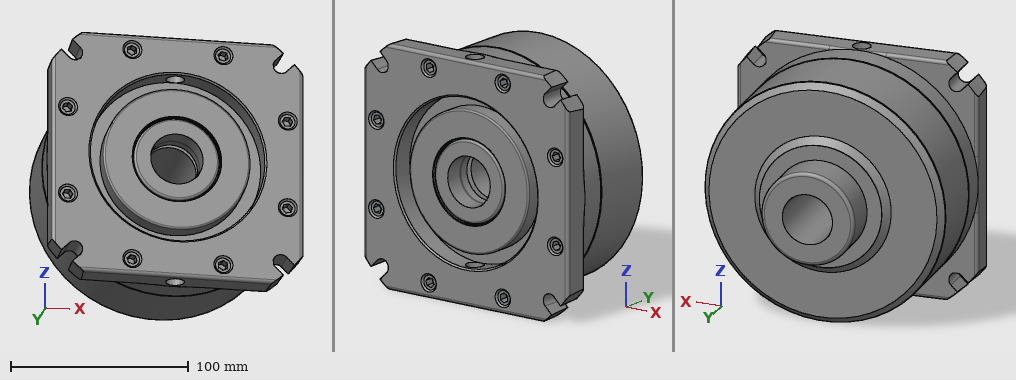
import cadquery as cq
import math


flange_size = 144.0
flange_thickness = 16.0
flange_front_fillet = 2.0
flange_back_fillet = 2.0
round_tip_radius = 0.03
corner_front_radius = 90.0
corner_back_radius = 89.1

slot_width = 9.0
slot_centre = 59.0
slot_length = 28.8

drum_radius = flange_size / 2
groove_position = 31.2
groove_half_width = 0.6
groove_depth = 0.22
drum_chamfer_start = 70.3
drum_end = 73.9
drum_bevel_length = 0.6
drum_bevel_depth = 0.3
collar_end = 78.0
collar_base_radius = 40.8
collar_top_radius = 36.6
collar_rim_height = 0.3

recess_radius = 50.0
recess_depth = 14.0
recess_chamfer = 1.0
boss_radius = 42.0
boss_setback = 3.0
boss_fillet = 1.0
access_hole_diameter = 10.5
access_hole_position = 8.6

screw_count = 8
screw_circle_radius = 68.1
first_screw_angle = 22.5
countersink_radius = 5.4
countersink_depth = 1.08
socket_across_flats = 5.0
socket_depth = 5.8
socket_tilt = 22.5

hub_radius = 24.5
hub_fillet = 1.3
hub_hole_radius = 25.2
hub_hole_chamfer = 0.5
hub_gap_depth = 2.0
shaft_radius = 27.8
shaft_end = 100.0
shaft_end_fillet = 2.0
bore_radius = 15.0
bore_step = 0.1
bore_step_start = boss_setback + 11.4
bore_step_length = 1.0
relief_start = boss_setback + 18.1
relief_length = 3.7
relief_radius = 20.9

shoulder_position = boss_setback + hub_gap_depth


def front_plane(depth=0.0):
    """Plane parallel to the front face whose normal points along +Y; local x is -X and local y is Z."""
    return cq.Workplane(cq.Plane(origin=(0, depth, 0), xDir=(-1, 0, 0), normal=(0, 1, 0)))


def turned(points):
    """Solid of revolution about Y from (radius, position) points."""
    profile = [(position, radius) for radius, position in points]
    return cq.Workplane("YZ").polyline(profile).close().revolve(360, (0, 0, 0), (1, 0, 0))


def disc(radius, start, end):
    return front_plane(start).circle(radius).extrude(end - start)


def back_round_section(x, radius):
    """Wire across X between the sharp top back edge of the flange and its round."""
    top = flange_size / 2
    sagitta = radius * (1 - math.sqrt(0.5))
    return (
        cq.Workplane("YZ", origin=(x, 0, 0))
        .moveTo(flange_thickness, top)
        .lineTo(flange_thickness - radius, top)
        .threePointArc((flange_thickness - sagitta, top - sagitta), (flange_thickness, top - radius))
        .close()
        .val()
    )


def make_back_round_cutter():
    """Waste that rounds one half of the top back edge of the flange.

    The round is full where the drum lies deeper than its radius, and from there it tapers
    to nothing at mid-side, where the drum comes flush with the flange.
    """
    run_out = math.sqrt(drum_radius**2 - (drum_radius - flange_back_fillet) ** 2)
    full = back_round_section(run_out, flange_back_fillet)
    along_edge = cq.Workplane(cq.Solid.extrudeLinear(full, [], cq.Vector(flange_size / 2, 0, 0)))
    tip = back_round_section(0, round_tip_radius)
    taper = cq.Workplane(cq.Solid.makeLoft([tip, full], True))
    return along_edge.union(taper)


def make_flange():
    flange = front_plane().rect(flange_size, flange_size).extrude(flange_thickness)
    flange = flange.faces("<Y").edges().fillet(flange_front_fillet)
    round_cutter = make_back_round_cutter()
    for side in range(4):
        side_angle = 90 * side
        flange = flange.cut(round_cutter.rotate((0, 0, 0), (0, 1, 0), side_angle))
        flange = flange.cut(round_cutter.mirror("YZ").rotate((0, 0, 0), (0, 1, 0), side_angle))
    corner_cone = turned([
        (0, 0),
        (corner_front_radius, 0),
        (corner_back_radius, flange_thickness),
        (0, flange_thickness),
    ])
    return flange.intersect(corner_cone)


def make_slot():
    """Round-ended slot that opens outward along -X."""
    channel = front_plane().center(slot_length / 2, 0).rect(slot_length, slot_width).extrude(flange_thickness)
    slot = disc(slot_width / 2, 0, flange_thickness).union(channel)
    return slot.translate((-slot_centre * math.sqrt(2), 0, 0))


def make_drum():
    chamfer = drum_end - drum_chamfer_start
    chamfer_radius = drum_radius - drum_bevel_depth
    start = flange_thickness - flange_back_fillet
    return turned([
        (0, start),
        (drum_radius, start),
        (drum_radius, groove_position - groove_half_width),
        (drum_radius - groove_depth, groove_position),
        (drum_radius, groove_position + groove_half_width),
        (drum_radius, drum_chamfer_start - drum_bevel_length),
        (chamfer_radius, drum_chamfer_start),
        (chamfer_radius - chamfer, drum_end),
        (collar_base_radius, drum_end),
        (collar_top_radius, collar_end - collar_rim_height),
        (collar_top_radius, collar_end),
        (0, collar_end),
    ])


def make_recess():
    recess = disc(recess_radius, 0, recess_depth)
    mouth = turned([
        (0, 0),
        (recess_radius + recess_chamfer, 0),
        (recess_radius, recess_chamfer),
        (0, recess_chamfer),
    ])
    boss = disc(boss_radius, boss_setback, recess_depth).faces("<Y").edges().fillet(boss_fillet)
    return recess.union(mouth).cut(boss)


def make_access_hole():
    """Cross hole through both opposite flange edges that stops short of the boss."""
    hole = cq.Workplane("XY").center(0, access_hole_position).circle(access_hole_diameter / 2)
    hole = hole.extrude(flange_size / 2, both=True)
    return hole.cut(disc(boss_radius, 0, flange_thickness))


def make_screw_recess():
    """Countersink with a hexagon socket below it, on the axis of the part."""
    countersink = turned([
        (0, 0),
        (countersink_radius, 0),
        (countersink_radius - countersink_depth, countersink_depth),
        (0, countersink_depth),
    ])
    across_corners = socket_across_flats / math.cos(math.pi / 6)
    socket = front_plane().polygon(6, across_corners).extrude(countersink_depth + socket_depth)
    socket = socket.rotate((0, 0, 0), (0, 1, 0), socket_tilt)
    return countersink.union(socket)


def make_shaft_hole():
    return turned([
        (0, boss_setback),
        (hub_hole_radius + hub_hole_chamfer, boss_setback),
        (hub_hole_radius, boss_setback + hub_hole_chamfer),
        (hub_hole_radius, shoulder_position),
        (shaft_radius, shoulder_position),
        (shaft_radius, collar_end),
        (0, collar_end),
    ])


def make_housing():
    housing = make_flange().union(make_drum())
    slot = make_slot()
    for corner in range(4):
        housing = housing.cut(slot.rotate((0, 0, 0), (0, 1, 0), 45 + 90 * corner))
    housing = housing.cut(make_recess()).cut(make_access_hole())
    screw_recess = make_screw_recess().translate((screw_circle_radius, 0, 0))
    for index in range(screw_count):
        angle = first_screw_angle + index * 360 / screw_count
        housing = housing.cut(screw_recess.rotate((0, 0, 0), (0, 1, 0), angle))
    return housing.cut(make_shaft_hole())


def make_shaft():
    hub = disc(hub_radius, boss_setback, shoulder_position).faces("<Y").edges().fillet(hub_fillet)
    shaft = disc(shaft_radius, shoulder_position, shaft_end).faces(">Y").edges().fillet(shaft_end_fillet)
    bore = turned([
        (0, boss_setback),
        (bore_radius, boss_setback),
        (bore_radius, bore_step_start),
        (bore_radius + bore_step, bore_step_start + bore_step_length),
        (bore_radius + bore_step, relief_start),
        (relief_radius, relief_start),
        (relief_radius, relief_start + relief_length),
        (bore_radius, relief_start + relief_length),
        (bore_radius, shaft_end),
        (0, shaft_end),
    ])
    return hub.union(shaft).cut(bore)


housing = make_housing()
shaft = make_shaft()
result = cq.Compound.makeCompound([housing.val(), shaft.val()])